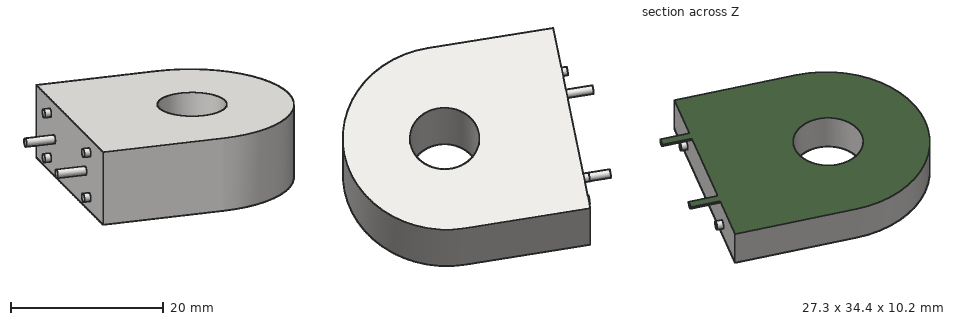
import cadquery as cq

width = 27.3
thickness = 10.15
overall_length = 34.35
end_radius = width / 2

hole_diameter = 9.15
hole_offset = 0.27

pin_diameter = 1.17
lead_length = 4.0
lead_spacing = 12.7
standoff_length = 0.85
standoff_spacing_x = 16.07
standoff_spacing_z = 6.25

body_length = overall_length - lead_length
arc_centre_y = body_length - end_radius


def make_housing():
    outline = (
        cq.Workplane("XY")
        .workplane(offset=-thickness / 2)
        .moveTo(-end_radius, 0)
        .lineTo(end_radius, 0)
        .lineTo(end_radius, arc_centre_y)
        .threePointArc((0, body_length), (-end_radius, arc_centre_y))
        .close()
    )
    return outline.extrude(thickness)


def make_hole():
    return (
        cq.Workplane("XY")
        .workplane(offset=-thickness / 2)
        .center(0, arc_centre_y + hole_offset)
        .circle(hole_diameter / 2)
        .extrude(thickness)
    )


def make_pins(positions, length):
    """Round pins at (x, z) positions, pointing along -Y from the flat face."""
    return (
        cq.Workplane("XZ")
        .pushPoints(positions)
        .circle(pin_diameter / 2)
        .extrude(length)
    )


lead_positions = [(side * lead_spacing / 2, 0) for side in (-1, 1)]
standoff_positions = [
    (side * standoff_spacing_x / 2, level * standoff_spacing_z / 2)
    for side in (-1, 1)
    for level in (-1, 1)
]

result = (
    make_housing()
    .cut(make_hole())
    .union(make_pins(lead_positions, lead_length))
    .union(make_pins(standoff_positions, standoff_length))
)